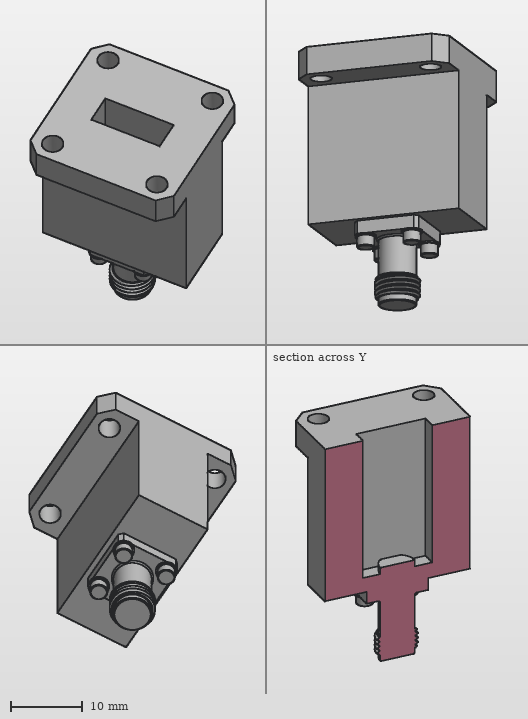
import cadquery as cq


flange_side = 22.4
flange_corner_cut = 1.9
flange_thickness_front = 4.5
flange_thickness_back = 4.0
body_height = 24.0
body_depth = 11.1

bolt_hole_diameter = 3.0
bolt_spacing_x = 16.26
bolt_spacing_y = 17.02

guide_width = 10.67
guide_height = 4.32
floor_thickness = 2.4
cavity_depth = body_height - floor_thickness
step_diameter = guide_width / 2
step_height = 1.0

block_side = 9.5
block_corner_cut = 0.55
block_thickness = 1.86
block_bottom = -body_height - block_thickness

screw_offset = 3.43
washer_diameter = 2.92
washer_thickness = 0.24
screw_head_diameter = 2.44
screw_head_height = 1.52
screw_edge_chamfer = 0.12

barrel_diameter = 5.33
total_height = 35.41
barrel_edge_chamfer = 0.15
barrel_base_flare = washer_thickness
flare_angle = 45

thread_diameter = 6.4
threads_per_inch = 36
mm_per_inch = 25.4
thread_pitch = mm_per_inch / threads_per_inch
thread_length = 3.05
thread_end_gap = 0.95
thread_root_diameter = 5.6
thread_embed = 0.05
thread_envelope_diameter = thread_diameter + 0.2
thread_end_chamfer = 0.45
thread_start_drop = 0.6
thread_crest_width = 0.06
thread_base_fraction = 0.98


def cut_corner_plate(side, corner_cut, top, thickness):
    """Square plate with cut corners, extending down from Z = top."""
    plate = cq.Workplane("XY").box(side, side, thickness, centered=(True, True, False))
    return plate.edges("|Z").chamfer(corner_cut).translate((0, 0, top - thickness))


def make_flange():
    """Cut-corner flange, thinner behind the body than in front of it."""
    flange = cut_corner_plate(flange_side, flange_corner_cut, 0, flange_thickness_front)
    back_relief = (
        cq.Workplane("XY", origin=(0, flange_side / 2, -flange_thickness_front))
        .rect(2 * flange_side, flange_side)
        .extrude(flange_thickness_front - flange_thickness_back)
    )
    return flange.cut(back_relief)


def make_body():
    body = cq.Workplane("XY").rect(flange_side, body_depth).extrude(-body_height)
    return body.union(make_flange())


def cut_bolt_holes(part):
    holes = (
        cq.Workplane("XY")
        .rect(bolt_spacing_x, bolt_spacing_y, forConstruction=True)
        .vertices()
        .circle(bolt_hole_diameter / 2)
        .extrude(-flange_thickness_front)
    )
    return part.cut(holes)


def cut_waveguide(part):
    """Rectangular cavity with a round matching step standing on its floor."""
    cavity = cq.Workplane("XY").rect(guide_width, guide_height).extrude(-cavity_depth)
    step = (
        cq.Workplane("XY", origin=(0, 0, -cavity_depth))
        .circle(step_diameter / 2)
        .extrude(step_height)
    )
    return part.cut(cavity.cut(step))


def cylinder_down(diameter, top, height):
    """Cylinder on the Z axis, extending down from Z = top."""
    return cq.Workplane("XY", origin=(0, 0, top)).circle(diameter / 2).extrude(-height)


def make_screw():
    """Screw head on its washer, centred on the Z axis."""
    washer = cylinder_down(washer_diameter, block_bottom, washer_thickness)
    head = cylinder_down(screw_head_diameter, block_bottom - washer_thickness, screw_head_height)
    head = head.faces("<Z").edges().chamfer(screw_edge_chamfer)
    return washer.union(head)


def add_connector_base(part):
    block = cut_corner_plate(block_side, block_corner_cut, -body_height, block_thickness)
    part = part.union(block)
    screw = make_screw()
    for x in (-screw_offset, screw_offset):
        for y in (-screw_offset, screw_offset):
            part = part.union(screw.translate((x, y, 0)))
    return part


def make_barrel():
    """Barrel flaring out conically where it meets the mounting block."""
    barrel = cylinder_down(barrel_diameter, block_bottom, total_height + block_bottom)
    barrel = barrel.faces("<Z").edges().chamfer(barrel_edge_chamfer)
    flare_diameter = barrel_diameter + 2 * barrel_base_flare
    flare = (
        cq.Workplane("XY", origin=(0, 0, block_bottom))
        .circle(flare_diameter / 2)
        .extrude(-barrel_base_flare, taper=flare_angle)
    )
    return barrel.union(flare)


def make_thread():
    """Helical ridge on a root cylinder, bevelled at both ends of the threaded length."""
    bottom = -total_height + thread_end_gap
    inner_radius = thread_root_diameter / 2 - thread_embed
    crest_radius = thread_diameter / 2
    half_base = thread_base_fraction * thread_pitch / 2
    half_crest = thread_crest_width / 2
    helix_height = thread_length + thread_start_drop + thread_pitch
    path = cq.Wire.makeHelix(thread_pitch, helix_height, inner_radius)
    ridge = (
        cq.Workplane("XZ")
        .polyline([
            (inner_radius, -half_base),
            (crest_radius, -half_crest),
            (crest_radius, half_crest),
            (inner_radius, half_base),
        ])
        .close()
        .sweep(cq.Workplane(path), isFrenet=True)
        .translate((0, 0, bottom - thread_start_drop))
    )
    envelope = cylinder_down(thread_envelope_diameter, bottom + thread_length, thread_length)
    envelope = envelope.faces("<Z or >Z").edges().chamfer(thread_end_chamfer)
    root = cylinder_down(thread_root_diameter, bottom + thread_length, thread_length)
    return root.union(ridge.intersect(envelope))


result = add_connector_base(cut_waveguide(cut_bolt_holes(make_body())))
result = result.union(make_barrel()).union(make_thread())